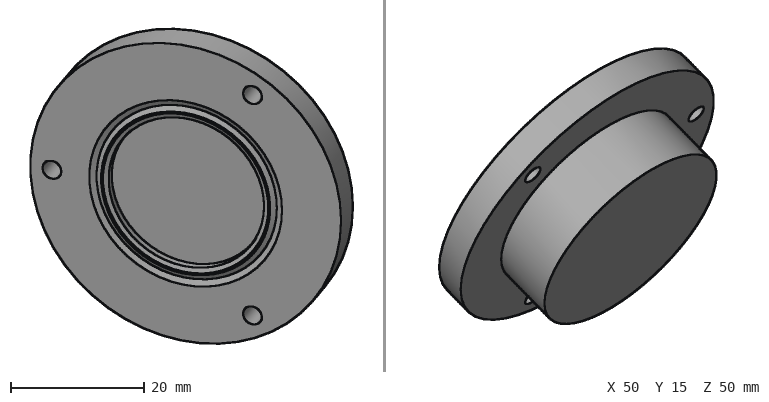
import cadquery as cq

flange_diameter = 50
flange_thickness = 5
boss_diameter = 34
boss_height = 10
total_depth = flange_thickness + boss_height

hole_diameter = 3
hole_circle_radius = 21.5
hole_count = 3
first_hole_angle = 180

groove_outer_radius = 15.5
groove_bottom_radius = 14.5
groove_inner_radius = 13.6
groove_depth = 0.45

recess_radius = 12.5
recess_mouth_radius = 13.3
lead_in_depth = 0.3
recess_depth = 1.6


def make_body():
    """Revolve half of the cross-section (radius along X, depth along Y)."""
    flange_radius = flange_diameter / 2
    boss_radius = boss_diameter / 2
    profile = [
        (0, recess_depth),
        (recess_radius, recess_depth),
        (recess_radius, lead_in_depth),
        (recess_mouth_radius, 0),
        (groove_inner_radius, 0),
        (groove_bottom_radius, groove_depth),
        (groove_outer_radius, 0),
        (flange_radius, 0),
        (flange_radius, flange_thickness),
        (boss_radius, flange_thickness),
        (boss_radius, total_depth),
        (0, total_depth),
    ]
    return cq.Workplane("XY").polyline(profile).close().revolve(360, (0, 0, 0), (0, 1, 0))


def make_holes():
    """Cylinders along Y, evenly spaced on the hole circle."""
    return (
        cq.Workplane("XZ")
        .polarArray(hole_circle_radius, first_hole_angle, 360, hole_count)
        .circle(hole_diameter / 2)
        .extrude(-flange_thickness)
    )


result = make_body().cut(make_holes())